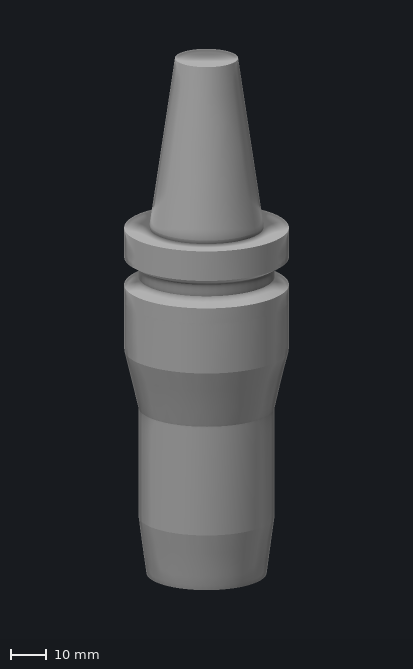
import cadquery as cq
import math


TOTAL_LENGTH = 150.0

TAPER_LENGTH = 48.4
GAUGE_DIAMETER = 31.75
TAPER_RATIO = 7 / 24
TAPER_END_DIAMETER = GAUGE_DIAMETER - TAPER_RATIO * TAPER_LENGTH

FLANGE_DIAMETER = 46.0
FLANGE_TOP_DEPTH = 1.0
FLANGE_BOTTOM_DEPTH = 22.0
GROOVE_CENTER_DEPTH = 13.6
GROOVE_WIDTH = 8.0
GROOVE_FLOOR_DIAMETER = 38.0
GROOVE_FLANK_ANGLE = 30.0

BODY_DIAMETER = 45.9
SLEEVE_DIAMETER = 38.0
NOSE_END_DIAMETER = 33.6
BODY_TO_NOSE_END = 65.0
SLEEVE_TO_NOSE_END = 48.3
NOSE_LENGTH = 16.6

NOSE_END_Z = TAPER_LENGTH - TOTAL_LENGTH
NOSE_TOP_Z = NOSE_END_Z + NOSE_LENGTH
SLEEVE_TOP_Z = NOSE_END_Z + SLEEVE_TO_NOSE_END
BODY_BOTTOM_Z = NOSE_END_Z + BODY_TO_NOSE_END


def turned(profile):
    """Revolve (diameter, z) points, listed from bottom to top, into a solid about Z."""
    outline = [(diameter / 2, z) for diameter, z in profile]
    bottom_z = outline[0][1]
    top_z = outline[-1][1]
    closed_outline = [(0, bottom_z)] + outline + [(0, top_z)]
    return cq.Workplane("XZ").polyline(closed_outline).close().revolve(360, (0, 0), (0, 1))


def make_shank():
    """Taper with the short cylindrical neck that joins it to the flange."""
    return turned([
        (GAUGE_DIAMETER, -FLANGE_TOP_DEPTH),
        (GAUGE_DIAMETER, 0),
        (TAPER_END_DIAMETER, TAPER_LENGTH),
    ])


def make_flange():
    """Flange with a trapezoidal groove around it."""
    groove_radial_depth = (FLANGE_DIAMETER - GROOVE_FLOOR_DIAMETER) / 2
    flank_height = groove_radial_depth * math.tan(math.radians(GROOVE_FLANK_ANGLE))
    groove_bottom_z = -GROOVE_CENTER_DEPTH - GROOVE_WIDTH / 2
    groove_top_z = -GROOVE_CENTER_DEPTH + GROOVE_WIDTH / 2
    return turned([
        (FLANGE_DIAMETER, -FLANGE_BOTTOM_DEPTH),
        (FLANGE_DIAMETER, groove_bottom_z),
        (GROOVE_FLOOR_DIAMETER, groove_bottom_z + flank_height),
        (GROOVE_FLOOR_DIAMETER, groove_top_z - flank_height),
        (FLANGE_DIAMETER, groove_top_z),
        (FLANGE_DIAMETER, -FLANGE_TOP_DEPTH),
    ])


def make_body():
    """Body that necks down to the sleeve and ends in a conical nose."""
    return turned([
        (NOSE_END_DIAMETER, NOSE_END_Z),
        (SLEEVE_DIAMETER, NOSE_TOP_Z),
        (SLEEVE_DIAMETER, SLEEVE_TOP_Z),
        (BODY_DIAMETER, BODY_BOTTOM_Z),
        (BODY_DIAMETER, -FLANGE_BOTTOM_DEPTH),
    ])


result = make_shank().union(make_flange()).union(make_body())